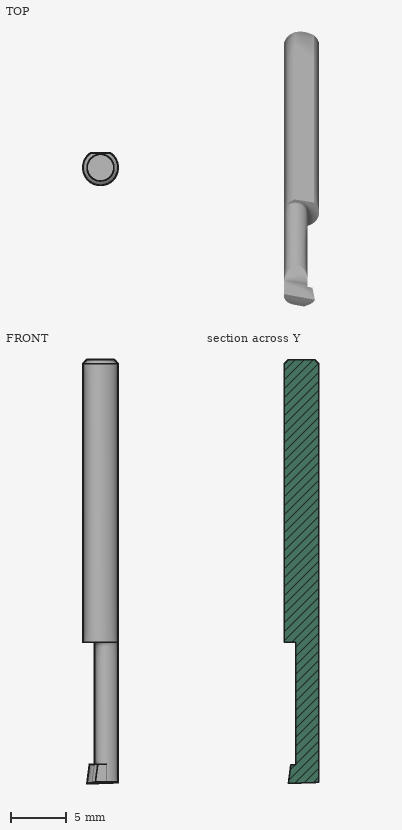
import cadquery as cq
import math

overall_length = 38.1

shank_diameter = 3.175
shank_length = 25.4
shank_chamfer = 0.39
shank_depth = 2.92
shank_radius = shank_diameter / 2
flat_y = shank_depth - shank_radius
neck_length = overall_length - shank_length

neck_diameter = 2.13
neck_radius = neck_diameter / 2
neck_x = shank_radius - neck_radius

rake_length = 2.2

head_height = 1.75
tip_x = -1.23
side_lean = 7.5
relief_middle = (0.13, -0.4)
relief_end = (0.42, -0.75)
heel_run = 0.75
end_relief_y = 8.0
end_relief_x = 2.0


def make_shank():
    """Round shank with a chamfered top and a full-length flat on +Y."""
    shank = (
        cq.Workplane("XY")
        .workplane(offset=neck_length)
        .circle(shank_radius)
        .extrude(shank_length)
        .faces(">Z")
        .chamfer(shank_chamfer)
    )
    kept_side = (
        cq.Workplane("XY")
        .workplane(offset=neck_length)
        .center(0, flat_y - shank_radius)
        .rect(shank_diameter, shank_diameter)
        .extrude(shank_length)
    )
    return shank.intersect(kept_side)


def make_neck():
    """Round neck, cut back to its axis plane near the tip."""
    neck = cq.Workplane("XY").center(neck_x, 0).circle(neck_radius).extrude(neck_length)
    rake_cut = (
        cq.Workplane("YZ")
        .moveTo(0, 0)
        .lineTo(0, rake_length)
        .lineTo(shank_radius, rake_length + shank_radius)
        .lineTo(shank_radius, 0)
        .close()
        .extrude(shank_radius, both=True)
    )
    return neck.cut(rake_cut)


def head_outline(z):
    """Cross-section of the cutting head at height z, as a closed wire."""
    edge_x = tip_x + z * math.tan(math.radians(side_lean))
    return (
        cq.Workplane("XY")
        .workplane(offset=z)
        .moveTo(edge_x, 0)
        .threePointArc(
            (edge_x + relief_middle[0], relief_middle[1]),
            (edge_x + relief_end[0], relief_end[1]),
        )
        .lineTo(edge_x + heel_run, -neck_radius)
        .lineTo(neck_x, -neck_radius)
        .lineTo(neck_x, 0)
        .close()
        .val()
    )


def make_head():
    """Cutting head on the -X side of the neck, with a leaning relieved side."""
    outlines = [head_outline(0), head_outline(head_height)]
    return cq.Workplane(cq.Solid.makeLoft(outlines, True))


def end_relief_cutter():
    """Block whose top is the end face, rising from the tip towards +X and -Y."""
    size = 4 * shank_diameter
    block = cq.Workplane("XY").box(size, size, size, centered=(True, True, False))
    return (
        block.translate((0, 0, -size))
        .rotate((0, 0, 0), (1, 0, 0), -end_relief_y)
        .rotate((0, 0, 0), (0, 1, 0), -end_relief_x)
        .translate((tip_x, 0, 0))
    )


result = make_shank().union(make_neck()).union(make_head()).cut(end_relief_cutter())